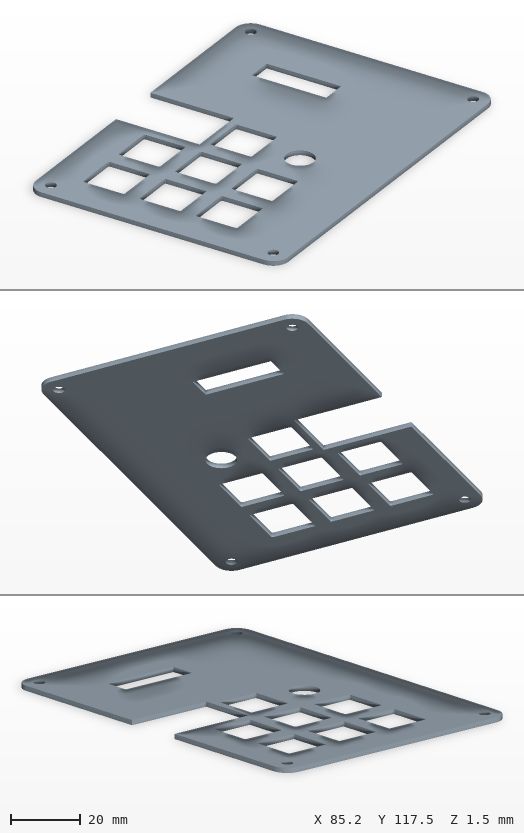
import cadquery as cq

plate_width = 85.2
plate_length = 117.5
plate_thickness = 1.5
corner_radius = 5.0

screw_hole_diameter = 3.4
screw_hole_inset = 5.0

key_size = 14.0
key_corner_radius = 0.5
key_pitch = 19.0
grid_center_x = -4.9
grid_middle_row_y = -21.0
key_cells = [(-1, -1), (0, -1), (1, -1), (-1, 0), (0, 0), (1, 0), (0, 1)]

knob_hole_diameter = 9.0
knob_hole_center = (14.2, -2.2)

window_width = 25.1
window_height = 8.0
window_center = (-11.0, 36.1)

notch_depth = 28.2
notch_height = 18.5
notch_center_y = -1.4


def grid_point(cell):
    """Centre of a grid cell given as (column, row) steps from the middle key."""
    column, row = cell
    return (grid_center_x + column * key_pitch, grid_middle_row_y + row * key_pitch)


def through_box(width, height, center):
    """Rectangular cutter, as tall as the plate is thick."""
    return cq.Workplane("XY").center(*center).rect(width, height).extrude(plate_thickness)


plate = (
    through_box(plate_width, plate_length, (0, 0))
    .edges("|Z")
    .fillet(corner_radius)
)

screw_span_x = plate_width - 2 * screw_hole_inset
screw_span_y = plate_length - 2 * screw_hole_inset
plate = (
    plate.faces(">Z")
    .workplane(origin=(0, 0, plate_thickness))
    .rect(screw_span_x, screw_span_y, forConstruction=True)
    .vertices()
    .hole(screw_hole_diameter)
)

for cell in key_cells:
    key_cutter = through_box(key_size, key_size, grid_point(cell)).edges("|Z").fillet(key_corner_radius)
    plate = plate.cut(key_cutter)

knob_cutter = (
    cq.Workplane("XY")
    .center(*knob_hole_center)
    .circle(knob_hole_diameter / 2)
    .extrude(plate_thickness)
)
plate = plate.cut(knob_cutter)

plate = plate.cut(through_box(window_width, window_height, window_center))

notch_center_x = (notch_depth - plate_width) / 2
plate = plate.cut(through_box(notch_depth, notch_height, (notch_center_x, notch_center_y)))

result = plate